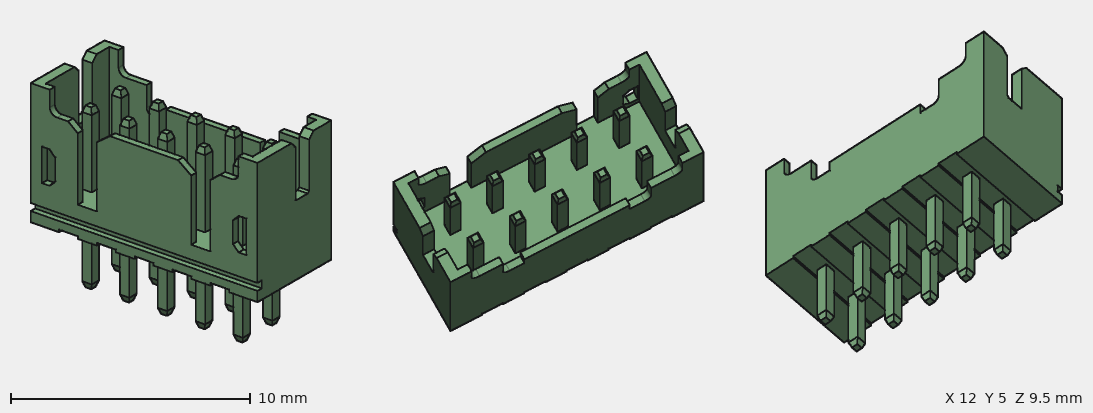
import cadquery as cq

LENGTH = 12.0
WIDTH = 5.0
HEIGHT = 6.5
END_WALL = 0.53
SIDE_WALL = 0.35
FLOOR_Z = 1.6

CORNER_WIDTH = 1.01
SHOULDER_Z = 5.33
SHOULDER_RADIUS = 0.37
SLOT_INSET = 2.5
SLOT_WIDTH = 1.01
TONGUE_CHAMFER_X = 0.7
TONGUE_CHAMFER_Z = 0.5
PANEL_CHAMFER_X = 0.52
PANEL_CHAMFER_Z = 0.4
REAR_SLOT_Z = 4.0
REAR_SLOT_RADIUS = 0.3
REAR_TONGUE_Z = 4.5

KEY_REAR_Y = 1.0
KEY_FRONT_Y = 0.1
KEY_Z = 3.72
KEY_CHAMFER = 0.3
KEY_CORNER_CHAMFER = 0.1

WINDOW_INSET = 0.6
WINDOW_WIDTH = 0.7
WINDOW_BOTTOM_Z = 2.02
WINDOW_TOP_Z = 3.72
WINDOW_CHAMFER = 0.3

GROOVE_BOTTOM_Z = 0.53
GROOVE_TOP_Z = 0.9
GROOVE_DEPTH = 0.3

PIN_COLUMNS = 5
PIN_ROWS = 2
PITCH = LENGTH / (PIN_COLUMNS + 1)
PIN_SIZE = 0.5
PIN_TIP_SIZE = 0.3
PIN_TIP_LENGTH = 0.3
PIN_TOP_Z = 5.5
PIN_BOTTOM_Z = -3.0
RELIEF_WIDTH = 1.0
RELIEF_HEIGHT = 0.12

HALF_LENGTH = LENGTH / 2
HALF_WIDTH = WIDTH / 2
CORNER_X = HALF_LENGTH - CORNER_WIDTH
SLOT_OUTER_X = HALF_LENGTH - SLOT_INSET
SLOT_INNER_X = SLOT_OUTER_X - SLOT_WIDTH
COLUMN_X = [(i - (PIN_COLUMNS - 1) / 2) * PITCH for i in range(PIN_COLUMNS)]
ROW_Y = [(i - (PIN_ROWS - 1) / 2) * PITCH for i in range(PIN_ROWS)]


def box(x_range, y_range, z_range):
    """Box between pairs of X, Y and Z limits."""
    size = [high - low for low, high in (x_range, y_range, z_range)]
    corner = (x_range[0], y_range[0], z_range[0])
    return cq.Workplane("XY").box(*size, centered=False).translate(corner)


def extrude_along_y(outline, y_start, depth):
    """Extrude a closed XZ outline from y_start towards +Y."""
    return outline.extrude(-depth).translate((0, y_start, 0))


def with_mirror_in_x(solid):
    """The solid together with its mirror image across X = 0."""
    return solid.union(solid.mirror("YZ"))


def hollow_block():
    """Open-topped tray: four walls and a thick floor."""
    cavity = box(
        (-HALF_LENGTH + END_WALL, HALF_LENGTH - END_WALL),
        (-HALF_WIDTH + SIDE_WALL, HALF_WIDTH - SIDE_WALL),
        (FLOOR_Z, HEIGHT),
    )
    return cq.Workplane("XY").box(LENGTH, WIDTH, HEIGHT, centered=(True, True, False)).cut(cavity)


def shoulder_cut():
    """Lowers both long walls between the corners, with rounded inner corners."""
    length = 2 * CORNER_X
    height = HEIGHT - SHOULDER_Z
    cut = cq.Workplane("XY").box(length, WIDTH, height, centered=(True, True, False))
    return cut.edges("|Y and <Z").fillet(SHOULDER_RADIUS).translate((0, 0, SHOULDER_Z))


def front_wall_cut():
    """Two slots down to the floor, chamfering the tongue and panels at their tops."""
    outline = (
        cq.Workplane("XZ")
        .moveTo(SLOT_INNER_X, FLOOR_Z)
        .lineTo(SLOT_OUTER_X, FLOOR_Z)
        .lineTo(SLOT_OUTER_X, SHOULDER_Z - PANEL_CHAMFER_Z)
        .lineTo(SLOT_OUTER_X + PANEL_CHAMFER_X, SHOULDER_Z)
        .lineTo(SLOT_INNER_X - TONGUE_CHAMFER_X, SHOULDER_Z)
        .lineTo(SLOT_INNER_X, SHOULDER_Z - TONGUE_CHAMFER_Z)
        .close()
    )
    return with_mirror_in_x(extrude_along_y(outline, -HALF_WIDTH, SIDE_WALL))


def rear_wall_cut():
    """Two shallow slots with one rounded corner each, and a lowered tongue between them."""
    y_range = (HALF_WIDTH - SIDE_WALL, HALF_WIDTH)
    slot = box((SLOT_INNER_X, SLOT_OUTER_X), y_range, (REAR_SLOT_Z, SHOULDER_Z))
    slot = slot.edges("|Y and <Z and >X").fillet(REAR_SLOT_RADIUS)
    tongue_top = box((-SLOT_INNER_X, SLOT_INNER_X), y_range, (REAR_TONGUE_Z, SHOULDER_Z))
    return with_mirror_in_x(slot).union(tongue_top)


def key_slot_cut():
    """Slot through both end walls, flared at the top and chamfered in its rear lower corner."""
    return (
        cq.Workplane("YZ")
        .moveTo(KEY_FRONT_Y, KEY_Z)
        .lineTo(KEY_REAR_Y - KEY_CORNER_CHAMFER, KEY_Z)
        .lineTo(KEY_REAR_Y, KEY_Z + KEY_CORNER_CHAMFER)
        .lineTo(KEY_REAR_Y, HEIGHT - KEY_CHAMFER)
        .lineTo(KEY_REAR_Y + KEY_CHAMFER, HEIGHT)
        .lineTo(KEY_FRONT_Y - KEY_CHAMFER, HEIGHT)
        .lineTo(KEY_FRONT_Y, HEIGHT - KEY_CHAMFER)
        .close()
        .extrude(HALF_LENGTH, both=True)
    )


def window_cut():
    """Two windows through the front wall, chamfered on the side nearer the middle."""
    outer_x = HALF_LENGTH - WINDOW_INSET
    window = box(
        (outer_x - WINDOW_WIDTH, outer_x),
        (-HALF_WIDTH, -HALF_WIDTH + SIDE_WALL),
        (WINDOW_BOTTOM_Z, WINDOW_TOP_Z),
    )
    return with_mirror_in_x(window.edges("|Y and <X").chamfer(WINDOW_CHAMFER))


def groove_cut():
    """Groove along the whole foot of the front face."""
    return box(
        (-HALF_LENGTH, HALF_LENGTH),
        (-HALF_WIDTH, -HALF_WIDTH + GROOVE_DEPTH),
        (GROOVE_BOTTOM_Z, GROOVE_TOP_Z),
    )


def relief_channel(x):
    """Shallow channel across the underside, below one pin column."""
    channel = cq.Workplane("XY").box(RELIEF_WIDTH, WIDTH, RELIEF_HEIGHT, centered=(True, True, False))
    return channel.translate((x, 0, 0))


def pin():
    """Square pin with a tapered tip at each end."""
    shank_bottom = PIN_BOTTOM_Z + PIN_TIP_LENGTH
    shank_top = PIN_TOP_Z - PIN_TIP_LENGTH
    shank = (
        cq.Workplane("XY", origin=(0, 0, shank_bottom))
        .rect(PIN_SIZE, PIN_SIZE)
        .extrude(shank_top - shank_bottom)
    )
    for shank_end, tip_end in ((shank_top, PIN_TOP_Z), (shank_bottom, PIN_BOTTOM_Z)):
        tip = (
            cq.Workplane("XY", origin=(0, 0, shank_end))
            .rect(PIN_SIZE, PIN_SIZE)
            .workplane(offset=tip_end - shank_end)
            .rect(PIN_TIP_SIZE, PIN_TIP_SIZE)
            .loft()
        )
        shank = shank.union(tip)
    return shank


result = hollow_block()
for cut in (shoulder_cut, front_wall_cut, rear_wall_cut, key_slot_cut, window_cut, groove_cut):
    result = result.cut(cut())
for column_x in COLUMN_X:
    result = result.cut(relief_channel(column_x))
for column_x in COLUMN_X:
    for row_y in ROW_Y:
        result = result.union(pin().translate((column_x, row_y, 0)))